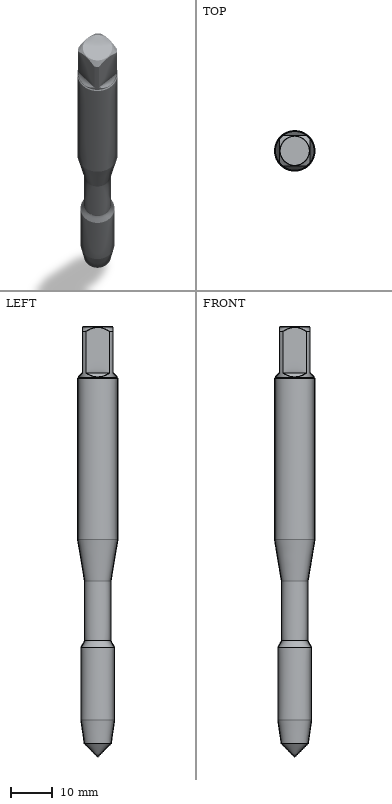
import cadquery as cq

TOTAL_LENGTH = 103.1

THREAD_DIAMETER = 8.1
POINT_BASE_DIAMETER = 6.5
POINT_HEIGHT = POINT_BASE_DIAMETER / 2
LEAD_TOP_Z = 8.9
THREAD_TOP_Z = 26.2
COLLAR_TOP_DIAMETER = 6.2
COLLAR_TOP_Z = 27.9

NECK_DIAMETER = 6.4
NECK_TOP_Z = 42.2
TAPER_TOP_Z = 52.1
SHANK_DIAMETER = 9.7
SHANK_TOP_Z = 90.9

DRIVE_DIAMETER = 9.3
DRIVE_WIDTH = 7.3
DRIVE_BOTTOM_Z = 92.1
DRIVE_CHAMFER = 1.1
SHANK_CHAMFER = (SHANK_DIAMETER - DRIVE_DIAMETER) / 2


def revolve_profile(points):
    """Revolve a closed (radius, z) outline around the Z axis."""
    return cq.Workplane("XZ").polyline(points).close().revolve(360, (0, 0), (0, 1))


def make_cutting_section():
    """Thread envelope with a conical collar, a tapered lead and a sharp point."""
    return revolve_profile([
        (0, 0),
        (POINT_BASE_DIAMETER / 2, POINT_HEIGHT),
        (THREAD_DIAMETER / 2, LEAD_TOP_Z),
        (THREAD_DIAMETER / 2, THREAD_TOP_Z),
        (COLLAR_TOP_DIAMETER / 2, COLLAR_TOP_Z),
        (0, COLLAR_TOP_Z),
    ])


def make_drive_relief():
    """Stock removed around the square, with 45 degree run-outs below its flats."""
    runout = SHANK_DIAMETER / 2
    blank_height = TOTAL_LENGTH - DRIVE_BOTTOM_Z + runout
    blank_width = DRIVE_WIDTH + 2 * runout
    blank = (
        cq.Workplane("XY", origin=(0, 0, DRIVE_BOTTOM_Z - runout))
        .rect(blank_width, blank_width)
        .extrude(blank_height)
    )
    square = (
        cq.Workplane("XY", origin=(0, 0, DRIVE_BOTTOM_Z))
        .rect(DRIVE_WIDTH, DRIVE_WIDTH)
        .extrude(TOTAL_LENGTH - DRIVE_BOTTOM_Z)
    )
    flare = (
        cq.Workplane("XY", origin=(0, 0, DRIVE_BOTTOM_Z - runout))
        .rect(blank_width, blank_width)
        .workplane(offset=runout)
        .rect(DRIVE_WIDTH, DRIVE_WIDTH)
        .loft(ruled=True)
    )
    return blank.cut(square).cut(flare)


def make_shank():
    """Neck, taper and shank, ending in the square drive."""
    turned = revolve_profile([
        (0, COLLAR_TOP_Z),
        (NECK_DIAMETER / 2, COLLAR_TOP_Z),
        (NECK_DIAMETER / 2, NECK_TOP_Z),
        (SHANK_DIAMETER / 2, TAPER_TOP_Z),
        (SHANK_DIAMETER / 2, SHANK_TOP_Z - SHANK_CHAMFER),
        (DRIVE_DIAMETER / 2, SHANK_TOP_Z),
        (DRIVE_DIAMETER / 2, TOTAL_LENGTH - DRIVE_CHAMFER),
        (DRIVE_DIAMETER / 2 - DRIVE_CHAMFER, TOTAL_LENGTH),
        (0, TOTAL_LENGTH),
    ])
    return turned.cut(make_drive_relief())


cutting_section = make_cutting_section()
shank = make_shank()

result = cq.Compound.makeCompound([cutting_section.val(), shank.val()])